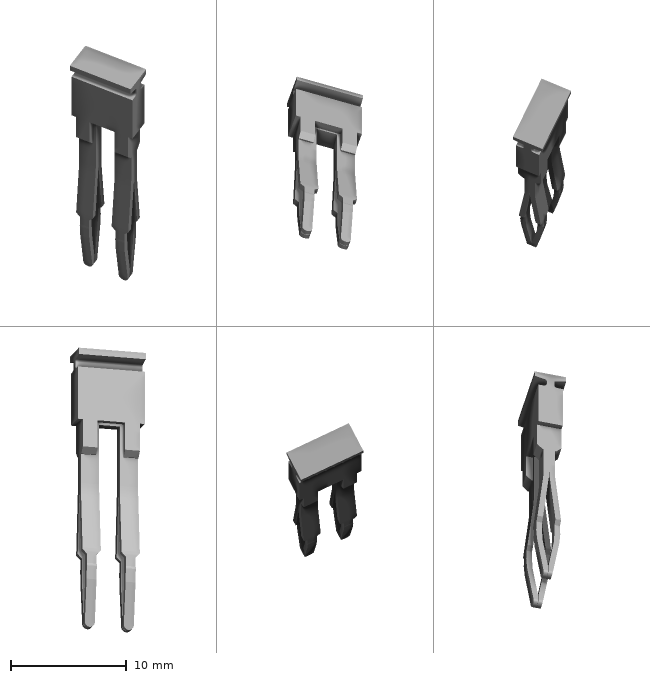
import cadquery as cq
import math


total_height = 24.8
body_width = 6.0
body_depth = 2.18
body_top = 23.2
body_bottom = 18.48
cap_depth = 2.8
cap_edge_height = 0.57
cap_underside_angle = 12.0
grip_neck_depth = 0.67
grip_upper_fillet = 0.2
grip_lower_fillet = 0.3
housing_leg_bottom = 15.5
housing_slot_width = 2.48
leg_chamfer_depth = 0.47
leg_chamfer_height = 0.52

leg_pitch = 3.5
leg_width = 1.64
neck_width = 0.9
neck_shoulder_top = 6.77
leaf_thickness = 0.5
bridge_top = 20.83
bridge_bottom = 18.25
housing_side_wall = 0.3

split_top = 12.9
flare_bend_bottom = 11.9
knee_top = 6.92
knee_bottom = 6.55
bump_top = 5.55
bump_bottom = 5.33
taper_start = 4.15
bump_height = 0.02
flare_angle = 5.6
taper_angle = 8.4
tip_gap = 0.02

legs_outer_width = leg_pitch + leg_width
legs_inner_width = leg_pitch - leg_width
embedded_width = legs_outer_width - 2 * housing_side_wall
shank_depth = 2 * leaf_thickness
flare_slope = math.tan(math.radians(flare_angle))
bend_slope = math.tan(math.radians(flare_angle / 2))
taper_slope = math.tan(math.radians(taper_angle))

flare_bend_shift = (split_top - flare_bend_bottom) * bend_slope
knee_top_shift = flare_bend_shift + (flare_bend_bottom - knee_top) * flare_slope
knee_shift = knee_top_shift + (knee_top - knee_bottom) * bend_slope
taper_start_shift = knee_shift + bump_height - (bump_bottom - taper_start) * taper_slope / 2
tip_shift = taper_start_shift - taper_start * taper_slope

flare_bend_radius = (split_top - flare_bend_bottom) / math.sin(math.radians(flare_angle))
knee_radius = (knee_top - knee_bottom) / math.sin(math.radians(flare_angle))
bump_radius = ((bump_top - bump_bottom) ** 2 + bump_height**2) / (2 * bump_height)


def box_between(width, depth, bottom, top):
    """Box centred on X and Y between two heights."""
    return cq.Workplane("XY").workplane(offset=bottom).rect(width, depth).extrude(top - bottom)


def make_grip():
    """Housing body with a finger cap on a narrow neck above it, along the whole width."""
    cap_edge = total_height - cap_edge_height
    overhang = (cap_depth - grip_neck_depth) / 2
    underside_drop = overhang * math.tan(math.radians(cap_underside_angle))
    neck_top = cap_edge - underside_drop
    half_profile = [
        (0, total_height),
        (cap_depth / 2, total_height),
        (cap_depth / 2, cap_edge),
        (grip_neck_depth / 2, neck_top),
        (grip_neck_depth / 2, body_top),
        (body_depth / 2, body_top),
        (body_depth / 2, body_bottom),
        (0, body_bottom),
    ]
    half = cq.Workplane("YZ").polyline(half_profile).close().extrude(body_width / 2, both=True)
    upper_corner = cq.NearestToPointSelector((0, grip_neck_depth / 2, neck_top))
    lower_corner = cq.NearestToPointSelector((0, grip_neck_depth / 2, body_top))
    half = half.edges(upper_corner).fillet(grip_upper_fillet)
    half = half.edges(lower_corner).fillet(grip_lower_fillet)
    return half.union(half.mirror("XZ"))


def make_embedded_plate():
    """The part of the jumper held in the housing: the bridge and the tops of the legs."""
    plate = box_between(embedded_width, shank_depth, housing_leg_bottom, bridge_top)
    return plate.cut(box_between(legs_inner_width, shank_depth, housing_leg_bottom, bridge_bottom))


def make_housing():
    """Housing with a recess that fits the embedded plate."""
    legs = box_between(legs_outer_width, body_depth, housing_leg_bottom, body_bottom)
    legs = legs.faces("<Z").edges("|X").chamfer(leg_chamfer_height, leg_chamfer_depth)
    slot = box_between(housing_slot_width, body_depth, housing_leg_bottom, body_bottom)
    return make_grip().union(legs.cut(slot)).cut(make_embedded_plate())


def leaf_outer_half():
    """Half of the side shape of a leg, out to the outer face of one leaf."""
    return (
        cq.Workplane("YZ")
        .moveTo(0, housing_leg_bottom)
        .lineTo(leaf_thickness, housing_leg_bottom)
        .lineTo(leaf_thickness, split_top)
        .radiusArc((leaf_thickness + flare_bend_shift, flare_bend_bottom), -flare_bend_radius)
        .lineTo(leaf_thickness + knee_top_shift, knee_top)
        .radiusArc((leaf_thickness + knee_shift, knee_bottom), knee_radius)
        .lineTo(leaf_thickness + knee_shift, bump_top)
        .radiusArc((leaf_thickness + knee_shift + bump_height, bump_bottom), bump_radius)
        .lineTo(leaf_thickness + taper_start_shift, taper_start)
        .lineTo(leaf_thickness + tip_shift, 0)
        .lineTo(0, 0)
        .close()
        .extrude(leg_width / 2, both=True)
    )


def leaf_gap_half():
    """Half of the opening between the two leaves of a leg."""
    gap_meets_tip = taper_start - (taper_start_shift - tip_gap / 2) / taper_slope
    return (
        cq.Workplane("YZ")
        .moveTo(0, split_top)
        .radiusArc((flare_bend_shift, flare_bend_bottom), -flare_bend_radius)
        .lineTo(knee_top_shift, knee_top)
        .radiusArc((knee_shift, knee_bottom), knee_radius)
        .lineTo(knee_shift, bump_bottom)
        .lineTo(taper_start_shift, taper_start)
        .lineTo(tip_gap / 2, gap_meets_tip)
        .lineTo(tip_gap / 2, 0)
        .lineTo(0, 0)
        .close()
        .extrude(leg_width / 2, both=True)
    )


def leg_outline():
    """Width of a leg: a broad shank, sloped shoulders, and a narrow neck with a round tip."""
    half_leg = leg_width / 2
    half_neck = neck_width / 2
    shoulder_bottom = neck_shoulder_top - (half_leg - half_neck)
    return (
        cq.Workplane("XZ")
        .moveTo(-half_leg, housing_leg_bottom)
        .lineTo(half_leg, housing_leg_bottom)
        .lineTo(half_leg, neck_shoulder_top)
        .lineTo(half_neck, shoulder_bottom)
        .lineTo(half_neck, half_neck)
        .threePointArc((0, 0), (-half_neck, half_neck))
        .lineTo(-half_neck, shoulder_bottom)
        .lineTo(-half_leg, neck_shoulder_top)
        .close()
        .extrude(body_depth, both=True)
    )


def make_spring_leg():
    """One leg centred on X = 0, split into two bowed leaves."""
    half = leaf_outer_half().cut(leaf_gap_half()).intersect(leg_outline())
    return half.union(half.mirror("XZ"))


def make_jumper():
    """Bridge plate with a spring leg on each side."""
    jumper = make_embedded_plate()
    for side in (-1, 1):
        jumper = jumper.union(make_spring_leg().translate((side * leg_pitch / 2, 0, 0)))
    return jumper


housing = make_housing()
jumper = make_jumper()
result = cq.Compound.makeCompound([housing.solids().val(), jumper.solids().val()])